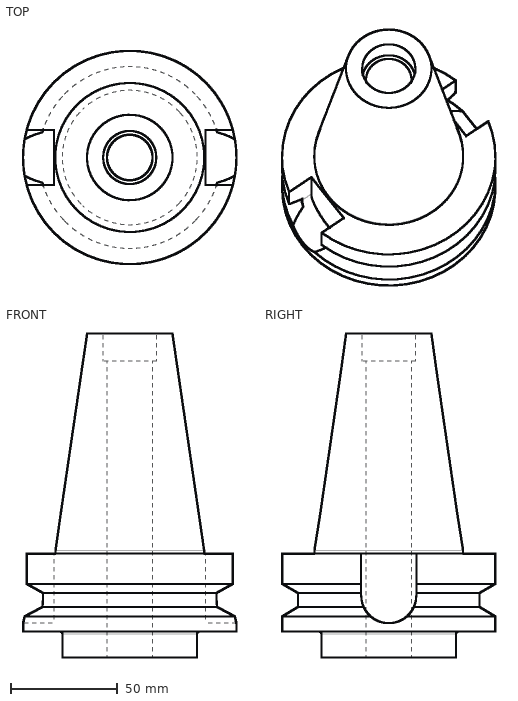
import cadquery as cq

total_height = 151.8
gauge_height = 50.1
taper_large_radius = 34.9
taper_small_radius = 20.0

flange_radius = 50.02
flange_bottom = 12.1
flange_top = 48.7
lower_rim_top = 19.3
groove_floor_bottom = 23.7
groove_floor_top = 30.2
upper_rim_bottom = 34.5
groove_radius = 42.7

nose_radius = 31.5
nose_fillet = 1.0

bore_radius = 10.6
counterbore_radius = 12.5
counterbore_depth = 12.9

slot_width = 25.8
slot_floor_x = 35.5
slot_bottom = 16.1


def make_body():
    """Revolve the outer half profile about Z, with a fillet where the nose meets the flange."""
    flange_and_taper = [
        (flange_radius, flange_bottom),
        (flange_radius, lower_rim_top),
        (groove_radius, groove_floor_bottom),
        (groove_radius, groove_floor_top),
        (flange_radius, upper_rim_bottom),
        (flange_radius, flange_top),
        (taper_large_radius, flange_top),
        (taper_large_radius, gauge_height),
        (taper_small_radius, total_height),
        (0, total_height),
    ]
    return (
        cq.Workplane("XZ")
        .lineTo(nose_radius, 0)
        .lineTo(nose_radius, flange_bottom - nose_fillet)
        .radiusArc((nose_radius + nose_fillet, flange_bottom), nose_fillet)
        .polyline(flange_and_taper, includeCurrent=True)
        .close()
        .revolve(360, (0, 0), (0, 1))
    )


def make_bore():
    """Through bore and the counterbore at the top."""
    bore = cq.Workplane("XY").circle(bore_radius).extrude(total_height)
    counterbore = (
        cq.Workplane("XY")
        .workplane(offset=total_height - counterbore_depth)
        .circle(counterbore_radius)
        .extrude(counterbore_depth)
    )
    return bore.union(counterbore)


def make_drive_slot(side):
    """Round-bottomed slot, open at the flange top; side is +1 or -1 along X."""
    half_width = slot_width / 2
    arc_height = slot_bottom + half_width
    slot_depth = flange_radius - slot_floor_x
    return (
        cq.Workplane("YZ")
        .workplane(offset=side * slot_floor_x)
        .moveTo(-half_width, flange_top)
        .lineTo(-half_width, arc_height)
        .threePointArc((0, slot_bottom), (half_width, arc_height))
        .lineTo(half_width, flange_top)
        .close()
        .extrude(side * slot_depth)
    )


result = make_body().cut(make_bore())
for side in (-1, 1):
    result = result.cut(make_drive_slot(side))